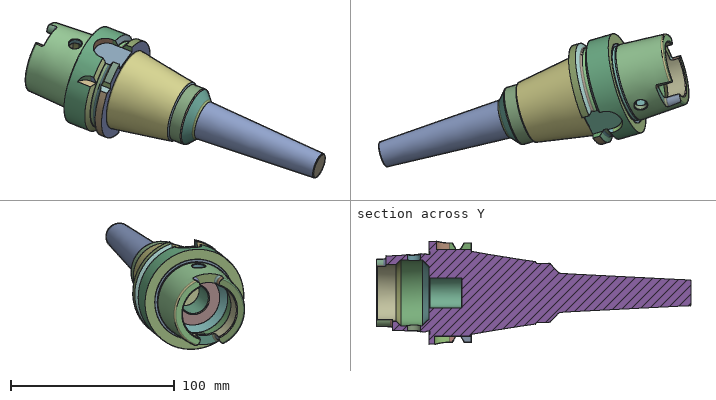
import cadquery as cq
import math

shank_length = 32.0
shank_root_radius = 24.1
shank_taper = 0.05
shank_edge_round = 0.9
shank_end_radius = shank_root_radius - shank_taper * shank_length

relief_length = 2.2
relief_flat_length = 1.2
relief_radius = 23.6
face_relief_radius = 25.2
face_relief_depth = 0.5

flange_radius = 31.5
flange_width = 26.0
groove_start = 14.4
groove_end = 21.5
groove_floor_radius = 27.7
groove_floor_start = 16.3
groove_half_angle = math.radians(30)
groove_floor_end = groove_end - (flange_radius - groove_floor_radius) * math.tan(groove_half_angle)
groove_corner_radius = flange_radius - (groove_floor_start - groove_start) / math.tan(groove_half_angle)
groove_fillet_radius = 1.6
groove_fillet_tangent = groove_fillet_radius * math.tan((math.pi / 2 - groove_half_angle) / 2)
groove_fillet_start = groove_floor_end - groove_fillet_tangent
groove_fillet_end = groove_floor_end + groove_fillet_tangent * math.sin(groove_half_angle)
groove_fillet_end_radius = groove_floor_radius + groove_fillet_tangent * math.cos(groove_half_angle)

neck_length = 0.5
cone_start_radius = 25.4
cone_end_radius = 19.2
cone_end = 65.0
collar_radius = 18.2
collar_start = 65.8
collar_end = 73.3
shoulder_start = 74.1
shoulder_start_radius = 17.9
shoulder_end = 78.8
shoulder_end_radius = 12.9
nose_start = 80.0
nose_start_radius = 12.1
nose_tip_radius = 8.0
nose_length = 160.0
nose_tip_chamfer = 0.5

mouth_radius = 17.2
mouth_chamfer = 0.6
clamp_shoulder_depth = 12.1
clamp_angle = math.radians(45)
cavity_radius = 20.0
cavity_end = -4.0
cavity_floor_radius = 16.1
thread_bore_radius = 9.0
thread_chamfer = 0.6
thread_bore_depth = 20.0

cross_hole_x = -9.0
cross_hole_diameter = 7.8
cross_hole_chamfer = 0.4

notch_half_width = 6.0
notch_lip_radius = 3.9
notch_lip_height = 20.7
notch_floor_fillet = 1.3
top_notch_depth = 5.8
bottom_notch_depth = 9.8

keyway_center_x = 12.7
keyway_floor_height = 26.5
top_keyway_radius = 8.0
bottom_keyway_radius = 9.0
orientation_offset = 20.0
orientation_cutter_radius = 8.0

overcut = 5.0
slot_cut_height = 15.0


def revolve_about_x(points):
    profile = cq.Workplane("XY").polyline(points).close()
    return profile.revolve(360, (0, 0, 0), (1, 0, 0))


def make_body():
    relief_start_radius = shank_root_radius - shank_taper * relief_length
    tip_chamfer_start = nose_length - nose_tip_chamfer
    profile = (
        cq.Workplane("XY")
        .moveTo(-shank_length, 0)
        .lineTo(-shank_length, shank_end_radius - shank_edge_round)
        .radiusArc((-shank_length + shank_edge_round, shank_end_radius), shank_edge_round)
        .lineTo(-relief_length, relief_start_radius)
        .lineTo(-relief_flat_length, relief_radius)
        .lineTo(face_relief_depth, relief_radius)
        .lineTo(face_relief_depth, face_relief_radius)
        .lineTo(0, face_relief_radius)
        .lineTo(0, flange_radius)
        .lineTo(groove_start, flange_radius)
        .lineTo(groove_floor_start, groove_corner_radius)
        .lineTo(groove_floor_start, groove_floor_radius)
        .lineTo(groove_fillet_start, groove_floor_radius)
        .radiusArc((groove_fillet_end, groove_fillet_end_radius), -groove_fillet_radius)
        .lineTo(groove_end, flange_radius)
        .lineTo(flange_width, flange_radius)
        .lineTo(flange_width, cone_start_radius)
        .lineTo(flange_width + neck_length, cone_start_radius)
        .lineTo(cone_end, cone_end_radius)
        .lineTo(collar_start, collar_radius)
        .lineTo(collar_end, collar_radius)
        .lineTo(shoulder_start, shoulder_start_radius)
        .lineTo(shoulder_end, shoulder_end_radius)
        .lineTo(nose_start, nose_start_radius)
        .lineTo(tip_chamfer_start, nose_tip_radius)
        .lineTo(nose_length, nose_tip_radius - nose_tip_chamfer)
        .lineTo(nose_length, 0)
        .close()
    )
    return profile.revolve(360, (0, 0, 0), (1, 0, 0))


def make_bore():
    shoulder_x = -shank_length + clamp_shoulder_depth
    cavity_start = shoulder_x + (cavity_radius - mouth_radius) / math.tan(clamp_angle)
    return revolve_about_x([
        (-shank_length, 0),
        (-shank_length, mouth_radius + mouth_chamfer),
        (-shank_length + mouth_chamfer, mouth_radius),
        (shoulder_x, mouth_radius),
        (cavity_start, cavity_radius),
        (cavity_end, cavity_radius),
        (0, cavity_floor_radius),
        (0, thread_bore_radius + thread_chamfer),
        (thread_chamfer, thread_bore_radius),
        (thread_bore_depth, thread_bore_radius),
        (thread_bore_depth, 0),
    ])


def drill_cross_hole(body):
    """Drill through the solid shank and break the two outer rims of the hole."""
    hole = cq.Workplane("XY").center(cross_hole_x, 0).circle(cross_hole_diameter / 2)
    drilled = body.cut(hole.extrude(flange_radius, both=True))
    half_size = cross_hole_diameter / 2 + cross_hole_chamfer
    rim_box = cq.selectors.BoxSelector(
        (cross_hole_x - half_size, -half_size, -shank_root_radius),
        (cross_hole_x + half_size, half_size, shank_root_radius),
        boundingbox=True,
    )
    rims = drilled.edges(rim_box).edges("not %LINE")
    return rims.chamfer(cross_hole_chamfer)


def make_drive_notch(depth):
    """Notch on the +Z side of the shank end, flaring outward over rounded lips."""
    lip_start_height = notch_lip_height - notch_lip_radius
    flare_half_width = notch_half_width + notch_lip_radius
    side_half_width = flare_half_width + overcut
    profile = (
        cq.Workplane("YZ", origin=(-shank_length - overcut, 0, 0))
        .moveTo(-notch_half_width, 0)
        .lineTo(-notch_half_width, lip_start_height)
        .radiusArc((-flare_half_width, notch_lip_height), -notch_lip_radius)
        .lineTo(-side_half_width, notch_lip_height)
        .lineTo(-side_half_width, flange_radius)
        .lineTo(side_half_width, flange_radius)
        .lineTo(side_half_width, notch_lip_height)
        .lineTo(flare_half_width, notch_lip_height)
        .radiusArc((notch_half_width, lip_start_height), -notch_lip_radius)
        .lineTo(notch_half_width, 0)
        .close()
    )
    return profile.extrude(overcut + depth).faces(">X").edges().fillet(notch_floor_fillet)


def make_round_ended_slot(radius, center_y, floor_height):
    """Slot cut down to floor_height, open at the flange front, with a round rear end."""
    length = flange_width - keyway_center_x
    plane = cq.Workplane("XY", origin=(keyway_center_x, center_y, floor_height))
    round_end = plane.circle(radius).extrude(slot_cut_height)
    straight = plane.rect(length, 2 * radius).extrude(slot_cut_height).translate((length / 2, 0, 0))
    return round_end.union(straight)


def turn_over(shape):
    return shape.rotate((0, 0, 0), (1, 0, 0), 180)


result = drill_cross_hole(make_body()).cut(make_bore())

result = result.cut(make_drive_notch(top_notch_depth))
result = result.cut(turn_over(make_drive_notch(bottom_notch_depth)))

orientation_center_y = -orientation_offset - orientation_cutter_radius
result = result.cut(make_round_ended_slot(top_keyway_radius, 0, keyway_floor_height))
result = result.cut(turn_over(make_round_ended_slot(bottom_keyway_radius, 0, keyway_floor_height)))
result = result.cut(
    make_round_ended_slot(orientation_cutter_radius, orientation_center_y, orientation_offset)
)